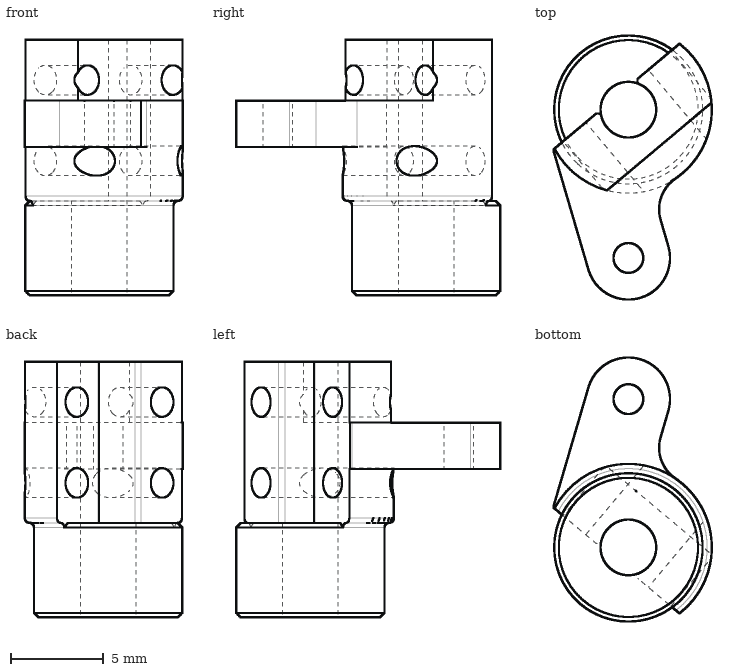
import cadquery as cq
import math

flange_top = 5.1
arm_bottom = 8.0
arm_top = 10.5
total_height = 13.8

bore_radius = 1.5
flange_radius = 4.0
clamp_radius = 4.5
step_radius = (clamp_radius - flange_radius) / 2

clamp_angle = 40
back_offset = 0.95
front_offset = 2.6
bore_edge_fillet = 0.2

screw_spacing = 6.0
screw_heights = (7.25, 11.61)
hole_radius = 0.8

eye_distance = 8.0
eye_radius = clamp_radius / 2
web_fillet = 2
tip_reach = 4.03


def turned(solid):
    """Turn a solid from the clamp's own axes to the part's axes."""
    return solid.rotate((0, 0, 0), (0, 0, 1), clamp_angle)


def slab(near, far, bottom, top):
    """Wide block spanning near to far across the clamp planes, in clamp axes."""
    width = 4 * clamp_radius
    return (
        cq.Workplane("XY", origin=(0, (near + far) / 2, bottom))
        .rect(width, far - near)
        .extrude(top - bottom)
    )


def make_flange():
    """Flange with both rims chamfered, before boring."""
    flange = cq.Workplane("XY").circle(flange_radius).extrude(flange_top)
    return flange.faces("<Z or >Z").chamfer(step_radius)


def make_body():
    """Flange and clamp in the clamp's own axes: X along the planes, Y toward the back."""
    curve = math.sqrt(0.5) * step_radius
    step_middle = (flange_radius + step_radius, flange_top)
    step_end = (clamp_radius, flange_top + step_radius)
    body = (
        cq.Workplane("XZ")
        .moveTo(0, 0)
        .lineTo(flange_radius - step_radius, 0)
        .lineTo(flange_radius, step_radius)
        .lineTo(flange_radius, flange_top - step_radius)
        .threePointArc((step_middle[0] - curve, flange_top - step_radius + curve), step_middle)
        .threePointArc((step_middle[0] + curve, flange_top + step_radius - curve), step_end)
        .lineTo(clamp_radius, total_height)
        .lineTo(0, total_height)
        .close()
        .revolve(360, (0, 0, 0), (0, 1, 0))
    )
    bore = cq.Workplane("XY").circle(bore_radius).extrude(total_height)
    body = body.cut(bore)
    behind = slab(back_offset, 2 * clamp_radius, flange_top - step_radius, total_height)
    body = body.cut(behind.cut(make_flange()))
    body = body.cut(slab(-2 * clamp_radius, -front_offset, arm_top, total_height))
    half_gap = math.sqrt(bore_radius**2 - back_offset**2)
    margin = 0.01
    bore_edges = cq.selectors.BoxSelector(
        (-half_gap - margin, back_offset - margin, flange_top),
        (half_gap + margin, back_offset + margin, total_height),
    )
    body = body.edges("|Z").edges(bore_edges).fillet(bore_edge_fillet)
    for side in (-1, 1):
        for height in screw_heights:
            body = cut_screw_hole(body, side * screw_spacing / 2, height)
    return body


def cut_screw_hole(body, x, height):
    """Plain hole right across the clamp."""
    hole = (
        cq.Workplane("XZ", origin=(x, 2 * clamp_radius, height))
        .circle(hole_radius)
        .extrude(4 * clamp_radius)
    )
    return body.cut(hole)


def make_arm():
    lean = math.asin(eye_radius / eye_distance)
    across = (math.cos(lean), math.sin(lean))
    along = (math.sin(lean), -math.cos(lean))
    left_start = (-tip_reach, (tip_reach * across[0] - clamp_radius) / across[1])
    left_end = (-eye_radius * across[0], -eye_distance - eye_radius * across[1])
    eye_bottom = (0, -eye_distance - eye_radius)
    right_start = (eye_radius * across[0], -eye_distance + eye_radius * across[1])
    reach = math.sqrt((clamp_radius + web_fillet) ** 2 - web_fillet**2)
    web = (
        reach * along[0] + web_fillet * across[0],
        reach * along[1] + web_fillet * across[1],
    )
    web_start = (reach * along[0], reach * along[1])
    touch = clamp_radius / (clamp_radius + web_fillet)
    web_end = (web[0] * touch, web[1] * touch)
    turn = math.atan2(web_start[1] - web[1], web_start[0] - web[0]) % (2 * math.pi)
    turn_end = math.atan2(-web[1], -web[0]) % (2 * math.pi)
    middle = (turn + turn_end) / 2
    web_middle = (
        web[0] + web_fillet * math.cos(middle),
        web[1] + web_fillet * math.sin(middle),
    )
    thickness = arm_top - arm_bottom
    arm = (
        cq.Workplane("XY", origin=(0, 0, arm_bottom))
        .moveTo(-tip_reach, 0)
        .lineTo(*left_start)
        .lineTo(*left_end)
        .threePointArc(eye_bottom, right_start)
        .lineTo(*web_start)
        .threePointArc(web_middle, web_end)
        .lineTo(0, 0)
        .close()
        .extrude(thickness)
    )
    arm = arm.cut(cq.Workplane("XY").circle(clamp_radius).extrude(total_height))
    arm = arm.cut(turned(slab(back_offset, 2 * clamp_radius, 0, total_height)))
    eye_hole = (
        cq.Workplane("XY", origin=(0, -eye_distance, arm_bottom))
        .circle(hole_radius)
        .extrude(thickness)
    )
    return arm.cut(eye_hole)


result = turned(make_body()).union(make_arm())